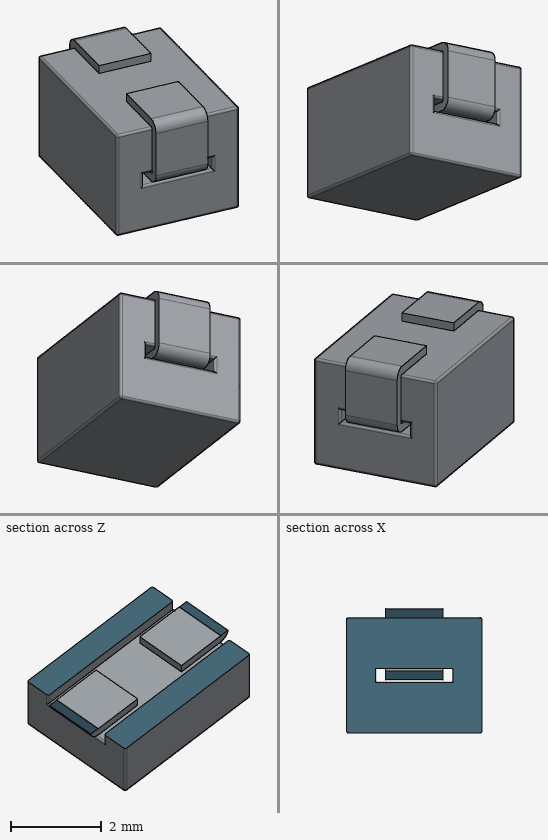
import cadquery as cq

overall_length = 4.4
overall_height = 2.75

strip_thickness = 0.2
strip_width = 1.27
bend_outer_radius = 0.25
bend_inner_radius = bend_outer_radius - strip_thickness
pad_length = 1.5
leg_length = pad_length

core_length = overall_length - 2 * strip_thickness
core_width = 3.0
core_height = overall_height - strip_thickness
edge_radius = bend_inner_radius

slot_width = 1.7
slot_height = 0.3
slot_center_z = core_height / 2

leg_bottom_z = slot_center_z - strip_thickness / 2
leg_top_z = leg_bottom_z + strip_thickness

pick_margin = 0.005


def make_core():
    """Rounded block with a through slot whose two mouths are rounded over."""
    block = cq.Workplane("XY").box(core_length, core_width, core_height)
    block = block.edges().fillet(edge_radius)
    slot = cq.Workplane("XY").box(core_length, slot_width, slot_height)
    core = block.cut(slot)
    for end_x in (-core_length / 2, core_length / 2):
        mouth = cq.selectors.BoxSelector(
            (end_x - pick_margin, -slot_width / 2 - pick_margin, -slot_height / 2 - pick_margin),
            (end_x + pick_margin, slot_width / 2 + pick_margin, slot_height / 2 + pick_margin),
        )
        core = core.edges(mouth).fillet(edge_radius)
    return core.translate((0, 0, core_height / 2))


def make_terminal(side):
    """C-shaped strip: pad on top, web down the end face, leg inside the slot.

    side is -1 for the terminal at the -X end and 1 for the one at the +X end.
    """
    outer_x = -overall_length / 2
    inner_x = outer_x + strip_thickness
    pad_end_x = outer_x + pad_length
    leg_end_x = outer_x + leg_length
    strip = (
        cq.Workplane("XZ")
        .moveTo(pad_end_x, overall_height)
        .lineTo(outer_x, overall_height)
        .lineTo(outer_x, leg_bottom_z)
        .lineTo(leg_end_x, leg_bottom_z)
        .lineTo(leg_end_x, leg_top_z)
        .lineTo(inner_x, leg_top_z)
        .lineTo(inner_x, core_height)
        .lineTo(pad_end_x, core_height)
        .close()
        .extrude(strip_width / 2, both=True)
    )
    strip = strip.edges("|Y and <X").fillet(bend_outer_radius)
    inner_bends = cq.selectors.BoxSelector(
        (inner_x - pick_margin, -strip_width, leg_top_z - pick_margin),
        (inner_x + pick_margin, strip_width, core_height + pick_margin),
    )
    strip = strip.edges(inner_bends).edges("|Y").fillet(bend_inner_radius)
    if side > 0:
        strip = strip.mirror("YZ")
    return strip


core = make_core()
terminals = [make_terminal(side) for side in (-1, 1)]

result = cq.Compound.makeCompound([core.val(), *[terminal.val() for terminal in terminals]])